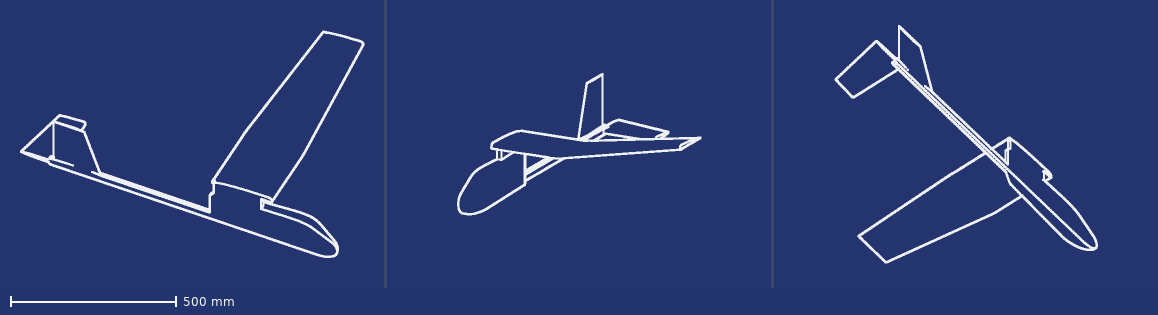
import cadquery as cq

length = 1058.9
half_span = 642.6
height = 261.1

wing_lead_x = 841.0
wing_root_trail_x = 639.0
wing_tip_trail_x = 707.0
wing_bottom_z = 157.5
flap_chord = 35.0
nose_chord = 38.0
wing_trail_thickness = 2.0
wing_root_thickness = 18.0
wing_flap_thickness = 10.0
wing_nose_height = 6.5
wing_nose_base = 16.0
dihedral_start_y = 213.0
dihedral_end_y = 229.0

boom_height = 25.4
tail_span = 190.0
tail_z = boom_height / 2
tail_lead_x = 126.0
tail_tip_trail_x = 39.0
elevator_chord = 27.5
tail_nose_chord = 35.5
tail_trail_half = 0.8
tail_hinge_half = 4.2
tail_half_thickness = 5.6

boom_half_width = 13.0
boom_start_x = 92.0
boom_end_bevel = 6.0
boom_edge_chamfer = 3.0

fin_trail_x = 109.0
fin_root_lead_x = 268.7
fin_tip_lead_x = 212.0
fin_top_z = 189.0
fin_root_half = 6.0
fin_tip_half = 3.5
fin_end_half = 1.0
fin_peak_share = 0.65

pod_aft_x = 632.0
pod_aft_half_width = 9.5
pod_shoulder_x = 690.0
pod_shoulder_half_width = 35.0
pod_half_width = 42.5
pod_wide_x = 945.0
pod_aft_corner_z = 98.0
pod_top_aft_z = 115.0
pod_top_front_z = 116.0
pod_top_z = 119.5
pod_edge_radius = 13.0
pylon_aft_x = 645.0
pylon_front_x = 804.5
pylon_aft_half = 9.5
pylon_front_half = 15.7


def wing_section(y, trail_x, rise):
    """Closed wing profile at span place y, raised by rise; thickness follows the chord."""
    size = (wing_lead_x - trail_x) / (wing_lead_x - wing_root_trail_x)
    flap_x = trail_x + flap_chord
    peak_x = wing_lead_x - nose_chord
    z = wing_bottom_z + rise

    def point(x, height_at_root):
        return cq.Vector(x, y, z + height_at_root * size)

    tail_low = point(trail_x, 0)
    tail_high = point(trail_x, wing_trail_thickness)
    flap = point(flap_x, wing_flap_thickness)
    peak = point(peak_x, wing_root_thickness)
    nose = point(wing_lead_x, wing_nose_height)
    belly = point(wing_lead_x - wing_nose_base, 0)
    along = cq.Vector(1, 0, 0)
    edges = [
        cq.Edge.makeLine(tail_low, tail_high),
        cq.Edge.makeLine(tail_high, flap),
        cq.Edge.makeTangentArc(peak, along * -1, flap),
        cq.Edge.makeSpline([peak, nose], tangents=[along, cq.Vector(0, 0, -1)]),
        cq.Edge.makeSpline([nose, belly], tangents=[cq.Vector(0, 0, -1), cq.Vector(-1, 0, 0)]),
        cq.Edge.makeLine(belly, tail_low),
    ]
    return cq.Wire.assembleEdges(edges)


def make_wing():
    """Level inner panel, short bend and tapered outer panel."""
    tip_size = (wing_lead_x - wing_tip_trail_x) / (wing_lead_x - wing_root_trail_x)
    tip_rise = height - wing_bottom_z - wing_root_thickness * tip_size
    half_bend = (dihedral_end_y - dihedral_start_y) / 2
    outer_slope = tip_rise / (half_bend + half_span - dihedral_end_y)
    bend_rise = half_bend * outer_slope
    sections = [
        wing_section(0, wing_root_trail_x, 0),
        wing_section(dihedral_start_y, wing_root_trail_x, 0),
        wing_section(dihedral_end_y, wing_root_trail_x, bend_rise),
        wing_section(half_span, wing_tip_trail_x, tip_rise),
    ]
    return cq.Workplane(cq.Solid.makeLoft(sections, True))


def tail_section(y, trail_x):
    """Symmetric tailplane profile at span place y."""
    hinge_x = trail_x + elevator_chord
    flat_x = tail_lead_x - tail_nose_chord
    low, high = -1, 1

    def point(x, half, side):
        return cq.Vector(x, y, tail_z + side * half)

    nose = point(tail_lead_x, 0, high)
    forward = cq.Vector(1, 0, 0)
    down = cq.Vector(0, 0, -1)
    flat_high = point(flat_x, tail_half_thickness, high)
    flat_low = point(flat_x, tail_half_thickness, low)
    corners = [
        flat_low,
        point(hinge_x, tail_hinge_half, low),
        point(trail_x, tail_trail_half, low),
        point(trail_x, tail_trail_half, high),
        point(hinge_x, tail_hinge_half, high),
        flat_high,
    ]
    edges = [cq.Edge.makeLine(a, b) for a, b in zip(corners, corners[1:])]
    edges.append(cq.Edge.makeSpline([flat_high, nose], tangents=[forward, down]))
    edges.append(cq.Edge.makeSpline([nose, flat_low], tangents=[down, forward * -1]))
    return cq.Wire.assembleEdges(edges)


def make_tailplane():
    """Tapered tailplane with a straight leading edge."""
    sections = [tail_section(0, 0), tail_section(tail_span, tail_tip_trail_x)]
    return cq.Workplane(cq.Solid.makeLoft(sections, True))


def make_boom():
    """Flat-sided tail boom that ends inside the pod."""
    return (
        cq.Workplane("XY")
        .box(pod_shoulder_x - boom_start_x, boom_half_width, boom_height, centered=False)
        .translate((boom_start_x, 0, 0))
        .edges("|Y and <X").chamfer(boom_end_bevel)
        .edges("|X and >Y").chamfer(boom_edge_chamfer)
    )


def fin_section(z, lead_x, half):
    """Half of the fin profile at height z: blunt trailing edge, pointed leading edge."""
    peak_x = fin_trail_x + fin_peak_share * (lead_x - fin_trail_x)
    points = [(fin_trail_x, 0), (fin_trail_x, fin_end_half), (peak_x, half), (lead_x, 0)]
    return cq.Wire.makePolygon([cq.Vector(x, y, z) for x, y in points], close=True)


def make_fin():
    """Upright root inside the boom, then a tapered fin above it."""
    sections = [
        fin_section(tail_z, fin_root_lead_x, fin_root_half),
        fin_section(boom_height, fin_root_lead_x, fin_root_half),
        fin_section(fin_top_z, fin_tip_lead_x, fin_tip_half),
    ]
    return cq.Workplane(cq.Solid.makeLoft(sections, True))


def make_pod():
    """Side outline and plan outline of the pod, intersected, with the flank edges rounded."""
    nose_z = 45.0
    nose_half_width = 8.0
    side = (
        cq.Workplane("XZ")
        .moveTo(pod_aft_x, 0)
        .lineTo(pod_aft_x, pod_aft_corner_z)
        .lineTo(pylon_aft_x, pod_top_aft_z)
        .lineTo(pylon_front_x, pod_top_front_z)
        .spline([(900, pod_top_z), (974, 109.5), (1011, 90), (1042, 74), (length, nose_z)],
                tangents=[(1, 0), (0, -1)], includeCurrent=True)
        .spline([(1040, 13), (990, 0)], tangents=[(0, -1), (-1, 0)], includeCurrent=True)
        .close()
        .extrude(-2 * pod_half_width)
    )
    plan = (
        cq.Workplane("XY")
        .moveTo(pod_aft_x, 0)
        .lineTo(pod_aft_x, pod_aft_half_width)
        .lineTo(pod_shoulder_x, pod_shoulder_half_width)
        .lineTo(pod_wide_x, pod_half_width)
        .spline([(1004, 31.5), (1040, 19), (length, nose_half_width)],
                tangents=[(1, 0), (1, -2)], includeCurrent=True)
        .lineTo(length, 0)
        .close()
        .extrude(2 * pod_top_z)
    )
    pod = side.intersect(plan)
    top_edges = cq.selectors.BoxSelector(
        (pylon_aft_x, pod_half_width / 2, 0.6 * pod_top_z), (length, pod_half_width, pod_top_z)
    )
    return pod.edges(top_edges).fillet(pod_edge_radius)


def make_pylon():
    """Post between pod and wing, wider at the front."""
    return (
        cq.Workplane("XY")
        .polyline([(pylon_aft_x, 0), (pylon_aft_x, pylon_aft_half),
                   (pylon_front_x, pylon_front_half), (pylon_front_x, 0)])
        .close()
        .extrude(wing_bottom_z + wing_trail_thickness)
    )


result = make_pod()
for piece in (make_pylon(), make_wing(), make_boom(), make_tailplane(), make_fin()):
    result = result.union(piece)